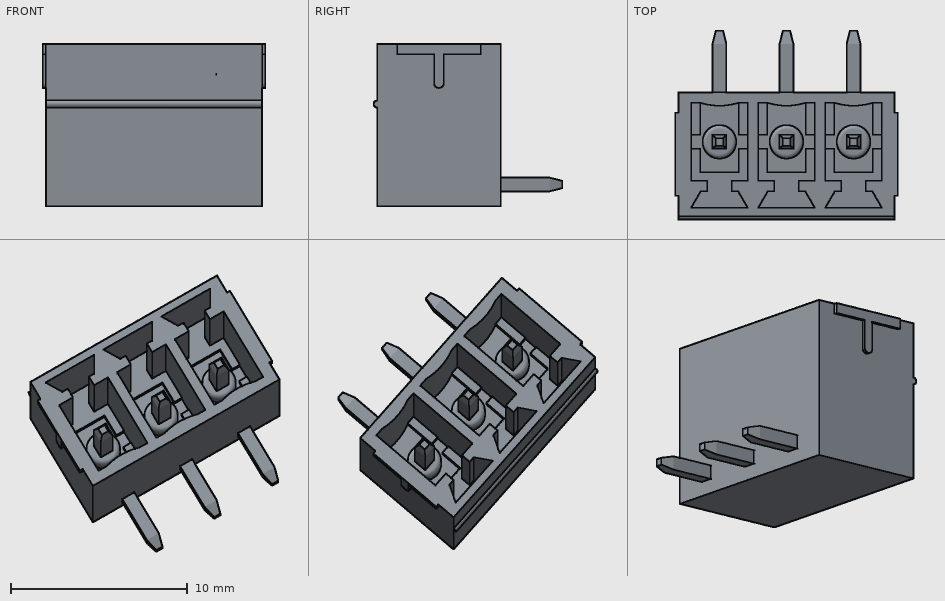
import cadquery as cq

OVERALL_WIDTH = 12.62
HOUSING_WIDTH = 12.25
HOUSING_DEPTH = 7.0
HOUSING_HEIGHT = 9.2

POLE_COUNT = 3
PITCH = 3.8
PIN_Y = 4.2
POLE_XS = [(i - (POLE_COUNT - 1) / 2) * PITCH for i in range(POLE_COUNT)]

CAVITY_WIDTH = 3.2
CAVITY_FRONT_Y = 2.0
CAVITY_REAR_Y = 6.41
CAVITY_FLOOR_Z = 2.52
BULGE_WIDTH = 2.18
BULGE_DEPTH = 0.16

NECK_WIDTH = 1.39
NECK_FRONT_Y = 1.41
DOVETAIL_REAR_WIDTH = 2.11
DOVETAIL_FRONT_Y = 0.47

RECESS_DEPTH = 0.38
RECESS_FRONT_Y = 2.47
RECESS_FLOOR_Z = CAVITY_FLOOR_Z - RECESS_DEPTH

BOSS_DIAMETER = 1.9
BOSS_TOP_DIAMETER = 1.41
BOSS_HEIGHT = 1.01

KEY_THICKNESS = (OVERALL_WIDTH - HOUSING_WIDTH) / 2
KEY_BAR_LENGTH = 4.72
KEY_BAR_HEIGHT = 0.59
KEY_STEM_WIDTH = 0.55
KEY_HEIGHT = 2.5

RIB_RADIUS = 0.2
RIB_Z = 5.79

PIN_SIZE = 0.8
TIP_SIZE = 0.42
TIP_LENGTH = 0.75
PIN_TOP_Z = 7.74
LEAD_Z = 1.24
LEAD_LENGTH = 3.5
LEAD_END_Y = HOUSING_DEPTH + LEAD_LENGTH


def make_key(side):
    """T-shaped key on one end; side is -1 or +1."""
    middle_y = HOUSING_DEPTH / 2
    half_bar = KEY_BAR_LENGTH / 2
    half_stem = KEY_STEM_WIDTH / 2
    bar_bottom = HOUSING_HEIGHT - KEY_BAR_HEIGHT
    key_bottom = HOUSING_HEIGHT - KEY_HEIGHT
    return (
        cq.Workplane("YZ", origin=(side * HOUSING_WIDTH / 2, middle_y, 0))
        .moveTo(-half_bar, HOUSING_HEIGHT)
        .lineTo(-half_bar, bar_bottom)
        .lineTo(-half_stem, bar_bottom)
        .lineTo(-half_stem, key_bottom + half_stem)
        .threePointArc((0, key_bottom), (half_stem, key_bottom + half_stem))
        .lineTo(half_stem, bar_bottom)
        .lineTo(half_bar, bar_bottom)
        .lineTo(half_bar, HOUSING_HEIGHT)
        .close()
        .extrude(side * KEY_THICKNESS)
    )


def make_rib():
    """Rod sunk halfway into the front face."""
    return (
        cq.Workplane("YZ", origin=(-HOUSING_WIDTH / 2, 0, RIB_Z))
        .circle(RIB_RADIUS)
        .extrude(HOUSING_WIDTH)
    )


def make_cavity(x):
    """Plug space with its keyway in front and a bulging rear wall."""
    half_cavity = CAVITY_WIDTH / 2
    half_bulge = BULGE_WIDTH / 2
    half_neck = NECK_WIDTH / 2
    half_dovetail = DOVETAIL_REAR_WIDTH / 2
    return (
        cq.Workplane("XY", origin=(x, 0, CAVITY_FLOOR_Z))
        .moveTo(-half_cavity, CAVITY_REAR_Y)
        .lineTo(-half_bulge, CAVITY_REAR_Y)
        .threePointArc((0, CAVITY_REAR_Y - BULGE_DEPTH), (half_bulge, CAVITY_REAR_Y))
        .lineTo(half_cavity, CAVITY_REAR_Y)
        .lineTo(half_cavity, CAVITY_FRONT_Y)
        .lineTo(half_neck, CAVITY_FRONT_Y)
        .lineTo(half_neck, NECK_FRONT_Y)
        .lineTo(half_dovetail, NECK_FRONT_Y)
        .lineTo(half_cavity, DOVETAIL_FRONT_Y)
        .lineTo(-half_cavity, DOVETAIL_FRONT_Y)
        .lineTo(-half_dovetail, NECK_FRONT_Y)
        .lineTo(-half_neck, NECK_FRONT_Y)
        .lineTo(-half_neck, CAVITY_FRONT_Y)
        .lineTo(-half_cavity, CAVITY_FRONT_Y)
        .close()
        .extrude(HOUSING_HEIGHT - CAVITY_FLOOR_Z)
    )


def make_floor_recess(x):
    """Recess as wide as the bulge, with an arm to each side wall in line with the pin."""
    half_bulge = BULGE_WIDTH / 2
    middle = (
        cq.Workplane("XY", origin=(x, 0, RECESS_FLOOR_Z))
        .moveTo(-half_bulge, CAVITY_REAR_Y)
        .threePointArc((0, CAVITY_REAR_Y - BULGE_DEPTH), (half_bulge, CAVITY_REAR_Y))
        .lineTo(half_bulge, RECESS_FRONT_Y)
        .lineTo(-half_bulge, RECESS_FRONT_Y)
        .close()
        .extrude(RECESS_DEPTH)
    )
    arms = (
        cq.Workplane("XY", origin=(x, PIN_Y, RECESS_FLOOR_Z))
        .rect(CAVITY_WIDTH, PIN_SIZE)
        .extrude(RECESS_DEPTH)
    )
    return middle.union(arms)


def make_boss(x):
    """Round boss on the recess floor with a rounded top edge."""
    return (
        cq.Workplane("XY", origin=(x, PIN_Y, RECESS_FLOOR_Z))
        .circle(BOSS_DIAMETER / 2)
        .extrude(BOSS_HEIGHT)
        .faces(">Z")
        .edges()
        .fillet((BOSS_DIAMETER - BOSS_TOP_DIAMETER) / 2)
    )


def make_tapered_bar(plane, origin, length):
    """Square bar along the plane's normal, tapered at its far end."""
    shank_length = length - TIP_LENGTH
    shank = cq.Workplane(plane, origin=origin).rect(PIN_SIZE, PIN_SIZE).extrude(shank_length)
    tip = (
        shank.faces(cq.selectors.DirectionMinMaxSelector(cq.Plane.named(plane).zDir, True))
        .workplane()
        .rect(PIN_SIZE, PIN_SIZE)
        .workplane(offset=TIP_LENGTH)
        .rect(TIP_SIZE, TIP_SIZE)
        .loft(combine=False)
    )
    return shank.union(tip)


def make_pin(x):
    """Upright contact and rearward lead, joined in a square corner."""
    half_pin = PIN_SIZE / 2
    corner_z = LEAD_Z - half_pin
    contact = make_tapered_bar("XY", (x, PIN_Y, corner_z), PIN_TOP_Z - corner_z)
    corner_y = PIN_Y - half_pin
    lead = make_tapered_bar("ZX", (x, corner_y, LEAD_Z), LEAD_END_Y - corner_y)
    return contact.union(lead)


def make_housing(pins):
    """Block with keys and rib, one cavity per pole, and passages that fit the pins."""
    body = cq.Workplane("XY").box(
        HOUSING_WIDTH, HOUSING_DEPTH, HOUSING_HEIGHT, centered=(True, False, False)
    )
    body = body.union(make_rib())
    for side in (-1, 1):
        body = body.union(make_key(side))
    for x, pin in zip(POLE_XS, pins):
        body = body.cut(make_cavity(x))
        body = body.cut(make_floor_recess(x))
        body = body.union(make_boss(x))
        body = body.cut(pin)
    return body


pins = [make_pin(x) for x in POLE_XS]
housing = make_housing(pins)

result = cq.Compound.makeCompound([housing.solids().val(), *[pin.solids().val() for pin in pins]])